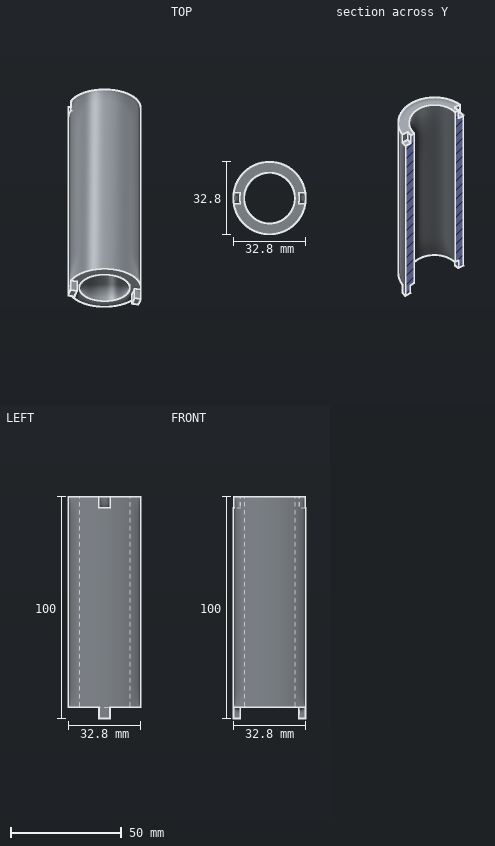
import cadquery as cq

outer_diameter = 32.8
wall_thickness = 5.0
tube_length = 95.0

key_width = 5.0
key_height = 5.0
key_depth = 3.0

outer_radius = outer_diameter / 2
bore_radius = outer_radius - wall_thickness
key_inner_radius = outer_radius - key_depth


def ring(inner_radius, height, base_z):
    """Hollow cylinder about Z, standing on base_z."""
    return (
        cq.Workplane("XY")
        .workplane(offset=base_z)
        .circle(outer_radius)
        .circle(inner_radius)
        .extrude(height)
    )


def key_pair(base_z):
    """Two opposite keys on the X axis, curved to follow the outer wall of the tube."""
    crossbar = (
        cq.Workplane("XY")
        .workplane(offset=base_z)
        .rect(outer_diameter, key_width)
        .extrude(key_height)
    )
    return ring(key_inner_radius, key_height, base_z).intersect(crossbar)


tube = ring(bore_radius, tube_length, 0)
notches = key_pair(tube_length - key_height)
tabs = key_pair(-key_height)

result = tube.cut(notches).union(tabs)